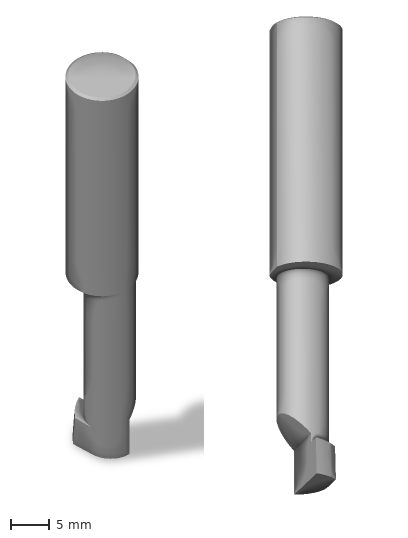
import cadquery as cq
import math

total_length = 63.5
shank_radius = 4.75
shank_length = 34.3
shank_flat_y = 4.5
end_chamfer_radial = 0.4
end_chamfer_axial = 0.25
shank_bottom = total_length - shank_length

neck_radius = 3.4
neck_x = shank_radius - neck_radius

rake_face_y = 0.0
ramp_start_z = 6.35
ramp_end_z = ramp_start_z + neck_radius

head_height = 5.15
tip_x = -4.3
facet_outer_x = -3.0
facet_outer_y = -2.5
facet_inner_x = -2.0
head_taper = 0.4
flank_bulge = 0.1

end_slope_x = 2.0
end_slope_y = 5.0

margin = 3.2


def make_shank():
    """Shank with a chamfered top end and a full-length flat."""
    bar = cq.Workplane("XY", origin=(0, 0, shank_bottom)).circle(shank_radius).extrude(shank_length)
    bar = bar.faces(">Z").edges().chamfer(end_chamfer_axial, end_chamfer_radial)
    flat_cutter = cq.Workplane("XY").box(
        2 * shank_radius, margin, total_length, centered=(True, False, False)
    ).translate((0, shank_flat_y, 0))
    return bar.cut(flat_cutter)


def make_neck():
    """Neck with its +Y half removed below a sloping run-out."""
    bar = cq.Workplane("XY").center(neck_x, 0).circle(neck_radius).extrude(shank_bottom)
    reach = neck_radius + margin
    cutaway = (
        cq.Workplane("YZ")
        .moveTo(rake_face_y, -margin)
        .lineTo(rake_face_y, ramp_start_z)
        .lineTo(neck_radius, ramp_end_z)
        .lineTo(reach, ramp_end_z + margin)
        .lineTo(reach, -margin)
        .close()
        .extrude(reach, both=True)
    )
    return bar.cut(cutaway)


def head_outline(plane, shift):
    """Head section on the given plane, with its flank moved by shift along X."""
    return (
        plane.moveTo(neck_x, rake_face_y)
        .lineTo(tip_x + shift, rake_face_y)
        .sagittaArc((facet_outer_x + shift, facet_outer_y), -flank_bulge)
        .lineTo(facet_inner_x + shift, -neck_radius)
        .lineTo(neck_x, -neck_radius)
        .close()
    )


def make_head():
    """Head lofted from its bottom section to the narrower top section."""
    bottom = head_outline(cq.Workplane("XY"), 0)
    return head_outline(bottom.workplane(offset=head_height), head_taper).loft(ruled=True, combine=True)


def make_end_relief_cutter():
    """Block below the sloping end face, which passes through the cutting tip."""
    normal = (
        -math.tan(math.radians(end_slope_x)),
        math.tan(math.radians(end_slope_y)),
        1,
    )
    end_plane = cq.Plane(origin=(tip_x, rake_face_y, 0), normal=normal)
    cutter_size = 4 * (shank_radius + margin)
    return cq.Workplane(end_plane).rect(cutter_size, cutter_size).extrude(-margin)


tip = make_neck().union(make_head()).cut(make_end_relief_cutter())
result = make_shank().union(tip)